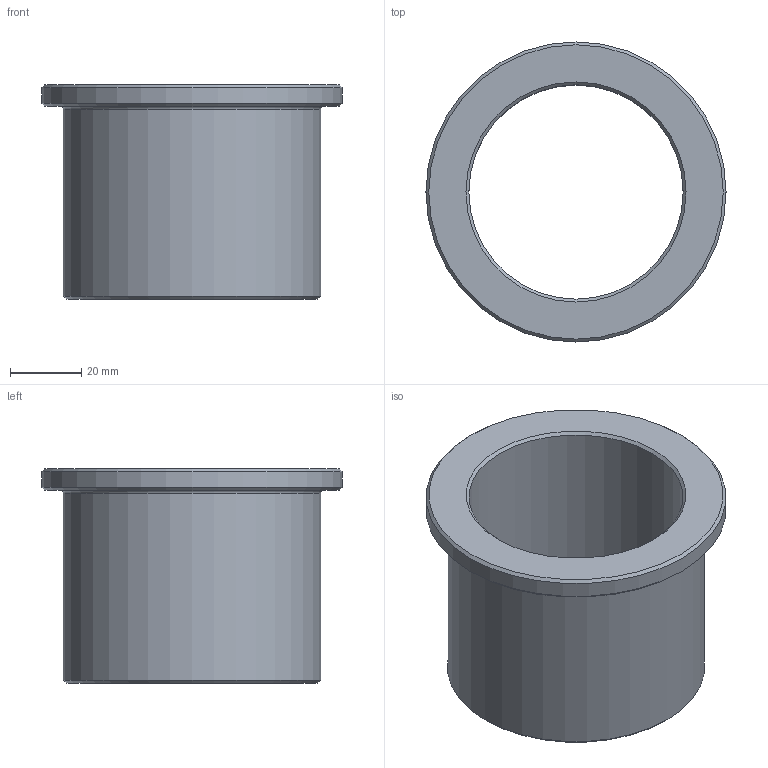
import cadquery as cq

bore_diameter = 60.0
barrel_diameter = 72.0
flange_diameter = 84.0
total_height = 60.0
flange_thickness = 6.0
edge_chamfer = 0.8
neck_fillet = 0.8

bore_radius = bore_diameter / 2
barrel_radius = barrel_diameter / 2
flange_radius = flange_diameter / 2
flange_underside = total_height - flange_thickness


def make_half_section():
    """Half section of the flanged bushing: radius along X, height along Z, base at Z = 0."""
    return (
        cq.Workplane("XZ")
        .moveTo(bore_radius, 0)
        .lineTo(barrel_radius - edge_chamfer, 0)
        .lineTo(barrel_radius, edge_chamfer)
        .lineTo(barrel_radius, flange_underside - neck_fillet)
        .radiusArc((barrel_radius + neck_fillet, flange_underside), neck_fillet)
        .lineTo(flange_radius - edge_chamfer, flange_underside)
        .lineTo(flange_radius, flange_underside + edge_chamfer)
        .lineTo(flange_radius, total_height - edge_chamfer)
        .lineTo(flange_radius - edge_chamfer, total_height)
        .lineTo(bore_radius + edge_chamfer, total_height)
        .lineTo(bore_radius, total_height - edge_chamfer)
        .close()
    )


axis_start = (0, 0)
axis_end = (0, 1)
result = make_half_section().revolve(360, axis_start, axis_end)